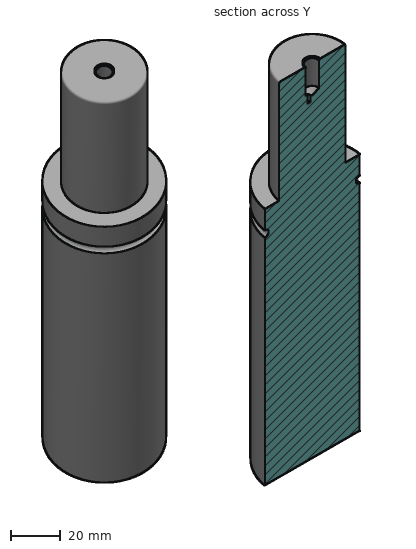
import cadquery as cq
import math

total_height = 220.0
body_diameter = 50.0
rod_diameter = 35.0

rod_length = 66.0
rod_fillet_radius = 1.0

collar_height = 12.0
groove_radius = 2.0

countersink_diameter = 8.0
hole_diameter = 6.8
hole_depth = 16.0
drill_tip_angle = 118.0

vent_diameter = 1.5
vent_offset = 1.7
vent_depth = 5.0

body_radius = body_diameter / 2
rod_radius = rod_diameter / 2
body_top = total_height - rod_length
groove_top = body_top - collar_height
groove_middle = groove_top - groove_radius
groove_bottom = groove_middle - groove_radius
hole_bottom = total_height - hole_depth


def revolve_about_z(profile):
    """Turn a closed XZ half-profile a full circle about the Z axis."""
    return profile.revolve(360, (0, 0, 0), (0, 1, 0))


def make_outer_shape():
    """Turned body with its groove and collar, and the rod with a rounded top edge."""
    profile = (
        cq.Workplane("XZ")
        .lineTo(body_radius, 0)
        .lineTo(body_radius, groove_bottom)
        .threePointArc(
            (body_radius - groove_radius, groove_middle),
            (body_radius, groove_top),
        )
        .lineTo(body_radius, body_top)
        .lineTo(rod_radius, body_top)
        .lineTo(rod_radius, total_height)
        .lineTo(0, total_height)
        .close()
    )
    return revolve_about_z(profile).faces(">Z").edges().fillet(rod_fillet_radius)


def make_hole():
    """Volume of the tapping hole; its countersink is at 45 degrees."""
    countersink_radius = countersink_diameter / 2
    hole_radius = hole_diameter / 2
    countersink_depth = countersink_radius - hole_radius
    tip_height = hole_radius / math.tan(math.radians(drill_tip_angle / 2))
    profile = (
        cq.Workplane("XZ")
        .moveTo(0, total_height)
        .lineTo(countersink_radius, total_height)
        .lineTo(hole_radius, total_height - countersink_depth)
        .lineTo(hole_radius, hole_bottom)
        .lineTo(0, hole_bottom - tip_height)
        .close()
    )
    return revolve_about_z(profile)


def make_vent():
    """Volume of the vent, running down from the level where the drill tip begins."""
    return (
        cq.Workplane("XY", origin=(vent_offset, 0, hole_bottom))
        .circle(vent_diameter / 2)
        .extrude(-vent_depth)
    )


result = make_outer_shape().cut(make_hole()).cut(make_vent())